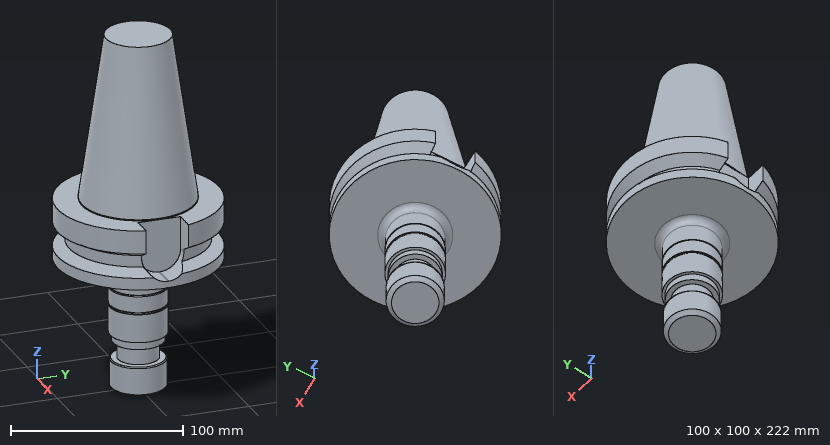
import cadquery as cq
import math

total_length = 222.0
flange_bottom = 82.0
flange_top = 119.0

nut_diameter = 33.7
nut_top = 19.0
nut_bottom_chamfer_height = 2.0
nut_bottom_chamfer_width = 3.0
nut_top_chamfer = 0.7

neck_diameter = 24.9
collar_diameter = 31.5
collar_bottom = 30.0
body_diameter = 35.0
body_bottom = 35.0
body_top = 64.5
body_edge_chamfer = 0.7
ring_groove_bottom = 52.6
ring_groove_width = 1.0
ring_groove_diameter = 33.7
shank_diameter = 34.6
shank_fillet = 4.5

flange_diameter = 100.0
groove_diameter = 85.2
groove_bottom_edge = 89.2
groove_top_edge = 104.5
groove_side_height = 4.0

relief_diameter = 69.5
taper_base_diameter = 70.0
taper_top_diameter = 40.0
relief_height = 0.7

slot_width = 26.2
slot_floor_width = 0.7
slot_bottom = 86.1
slot_distance = 35.0


def make_turned_body():
    """Revolve the half outline of the holder about Z."""
    nut_radius = nut_diameter / 2
    neck_radius = neck_diameter / 2
    collar_radius = collar_diameter / 2
    body_radius = body_diameter / 2
    ring_groove_radius = ring_groove_diameter / 2
    shank_radius = shank_diameter / 2
    flange_radius = flange_diameter / 2
    groove_radius = groove_diameter / 2
    relief_radius = relief_diameter / 2
    taper_base_radius = taper_base_diameter / 2
    ring_groove_top = ring_groove_bottom + ring_groove_width
    fillet_bulge = shank_fillet * (1 - math.sqrt(0.5))

    outline = (
        cq.Workplane("XZ")
        .moveTo(0, 0)
        .lineTo(nut_radius - nut_bottom_chamfer_width, 0)
        .lineTo(nut_radius, nut_bottom_chamfer_height)
        .lineTo(nut_radius, nut_top - nut_top_chamfer)
        .lineTo(nut_radius - nut_top_chamfer, nut_top)
        .lineTo(neck_radius, nut_top)
        .lineTo(neck_radius, collar_bottom)
        .lineTo(collar_radius, collar_bottom)
        .lineTo(collar_radius, body_bottom)
        .lineTo(body_radius, body_bottom)
        .lineTo(body_radius, ring_groove_bottom)
        .lineTo(ring_groove_radius, ring_groove_bottom)
        .lineTo(ring_groove_radius, ring_groove_top)
        .lineTo(body_radius, ring_groove_top)
        .lineTo(body_radius, body_top - body_edge_chamfer)
        .lineTo(body_radius - body_edge_chamfer, body_top)
        .lineTo(shank_radius, body_top)
        .lineTo(shank_radius, flange_bottom - shank_fillet)
        .threePointArc(
            (shank_radius + fillet_bulge, flange_bottom - fillet_bulge),
            (shank_radius + shank_fillet, flange_bottom),
        )
        .lineTo(flange_radius, flange_bottom)
        .lineTo(flange_radius, groove_bottom_edge)
        .lineTo(groove_radius, groove_bottom_edge + groove_side_height)
        .lineTo(groove_radius, groove_top_edge - groove_side_height)
        .lineTo(flange_radius, groove_top_edge)
        .lineTo(flange_radius, flange_top)
        .lineTo(relief_radius, flange_top)
        .lineTo(relief_radius, flange_top + relief_height)
        .lineTo(taper_base_radius, flange_top + relief_height)
        .lineTo(taper_top_diameter / 2, total_length)
        .lineTo(0, total_length)
        .close()
    )
    return outline.revolve(360, (0, 0), (0, 1))


def make_drive_slot(side):
    """Make the cutter for one slot; side is -1 for -X and +1 for +X."""
    half_width = slot_width / 2
    half_floor = slot_floor_width / 2
    slot_depth = flange_diameter / 2 - slot_distance
    corner_radius = half_width - half_floor
    round_center = slot_bottom + corner_radius
    arc_mid_y = half_floor + corner_radius * math.sqrt(0.5)
    arc_mid_z = round_center - corner_radius * math.sqrt(0.5)
    return (
        cq.Workplane("YZ", origin=(side * slot_distance, 0, 0))
        .moveTo(-half_width, flange_top)
        .lineTo(-half_width, round_center)
        .threePointArc((-arc_mid_y, arc_mid_z), (-half_floor, slot_bottom))
        .lineTo(half_floor, slot_bottom)
        .threePointArc((arc_mid_y, arc_mid_z), (half_width, round_center))
        .lineTo(half_width, flange_top)
        .close()
        .extrude(side * slot_depth)
    )


result = make_turned_body()
for slot_side in (-1, 1):
    result = result.cut(make_drive_slot(slot_side))